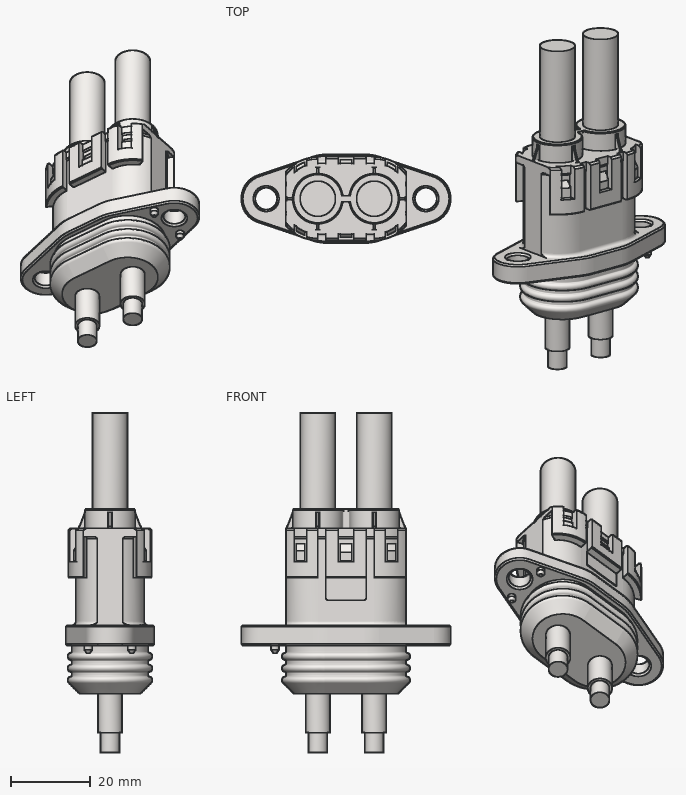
import cadquery as cq
import math

PIN_STEP_Z = 5.0
SEAL_BOTTOM_Z = 14.7
FLANGE_BOTTOM_Z = 26.8
FLANGE_TOP_Z = 31.9
SKIRT_BOTTOM_Z = 43.7
PLATE_BOTTOM_Z = 54.1
PLATE_TOP_Z = 56.1
COLLAR_TOP_Z = 60.95
CABLE_TOP_Z = 85.0

CABLE_X = 7.05
CABLE_RADIUS = 4.4
PIN_RADIUS = 3.1
PIN_TIP_RADIUS = 2.4

FLANGE_LENGTH = 52.45
FLANGE_HALF_LENGTH = FLANGE_LENGTH / 2
FLANGE_HALF_WIDTH = 11.1
FLANGE_END_X = 20.0
FLANGE_MIDDLE_X = 4.7
FLANGE_EDGE_CHAMFER = 0.4
HOLE_RADIUS = 2.7
HOLE_CHAMFER = 0.5

PIP_X = -17.8
PIP_Y = 5.4
PIP_RADIUS = 1.0
PIP_TIP_RADIUS = 0.4
PIP_STRAIGHT = 1.0
PIP_LENGTH = 1.95

SEAL_CENTER_X = 5.4
NECK_RADIUS = 9.6
RING_PEAK_RADIUS = 10.6
RING_CREST_RADIUS = 0.9
RING_ROOT_FILLET = 0.25
RING_PITCH = 3.0
RING_COUNT = 3
LOWEST_RING_Z = 18.1

BODY_RADIUS = 8.6
BODY_HALF_LENGTH = 15.05
BODY_BASE_FILLET = 0.9
BODY_TOP_FLARE_HEIGHT = 0.5
NOTCH_FLOOR_RADIUS = 8.8
SKIRT_RADIUS = 10.45
SKIRT_HALF_LENGTH = BODY_HALF_LENGTH
SKIRT_END_OUTER_Y = 6.55
SKIRT_END_INNER_X = 13.35
SKIRT_END_INNER_Y = 5.8
SKIRT_TOP_CHAMFER = 0.5
SKIRT_BOTTOM_CHAMFER = 0.25

PANEL_HALF_WIDTH = 5.0
WINDOW_BOTTOM_Z = 47.7
CENTER_WINDOW_WIDTH = 3.9
SIDE_WINDOW_X = 11.4
SIDE_WINDOW_WIDTH = 3.15
TOOTH_RADIUS = 9.7
TOOTH_BOTTOM_Z = 47.9
TOOTH_TOP_Z = 52.2
CENTER_TOOTH_WIDTH = 3.0
CENTER_TOOTH_CREST_Z = 50.1
SIDE_TOOTH_WIDTH = 2.1
SIDE_TOOTH_CREST_Z = 50.5

LABEL_BOTTOM_Z = 38.2
LABEL_DEPTH = 0.2
LABEL_CORNER_RADIUS = 0.4

COLLAR_RADIUS = 6.3
COLLAR_EDGE_CHAMFER = 0.25
BRIDGE_WIDTH = 1.5
BRIDGE_FILLET = 0.3
RIB_WIDTH = 0.5
RIB_FILLET = 0.25
RIB_REACH = 7.8
RIB_TOP_Z = 60.1

OVERLAP = 0.4


def mirror_x(point):
    return (-point[0], point[1])


def mirror_y(point):
    return (point[0], -point[1])


def cylinder(x, y, radius, bottom_z, top_z):
    return cq.Workplane("XY", origin=(x, y, bottom_z)).circle(radius).extrude(top_z - bottom_z)


def cone(x, y, base_radius, end_radius, base_z, height):
    """Frustum from base_z; a negative height points it downward."""
    direction = cq.Vector(0, 0, math.copysign(1, height))
    base = cq.Vector(x, y, base_z)
    return cq.Workplane(cq.Solid.makeCone(base_radius, end_radius, abs(height), base, direction))


def block(x_range, y_range, z_range):
    """Axis-aligned box given by its limits."""
    corner = (x_range[0], y_range[0], z_range[0])
    sizes = (x_range[1] - x_range[0], y_range[1] - y_range[0], z_range[1] - z_range[0])
    return cq.Workplane("XY").box(*sizes, centered=False).translate(corner)


def stadium_solid(draw_section, center_x):
    """Carry a closed (radius, height) section around a stadium with end centres at +-center_x."""
    round_end = draw_section(cq.Workplane("XZ")).revolve(360, (0, 0, 0), (0, 1, 0))
    side = draw_section(cq.Workplane("YZ")).extrude(center_x, both=True)
    solid = side.union(side.mirror("XZ"))
    for x in (-center_x, center_x):
        solid = solid.union(round_end.translate((x, 0, 0)))
    return solid


def polygon_stadium(points, center_x):
    return stadium_solid(lambda plane: plane.polyline(points).close(), center_x)


def slice_at(x, width, bottom_z):
    """Block across the whole housing depth, from bottom_z up to the plate top."""
    return block(
        (x - width / 2, x + width / 2),
        (-FLANGE_HALF_WIDTH, FLANGE_HALF_WIDTH),
        (bottom_z, PLATE_TOP_Z),
    )


def trim_length(solid, half_length):
    """Flat ends across the rounded housing."""
    return solid.intersect(slice_at(0, 2 * half_length, FLANGE_BOTTOM_Z))


def make_flange():
    """Diamond plate: the hull of two large middle circles and two small end circles."""
    end_radius = FLANGE_HALF_LENGTH - FLANGE_END_X
    slope = math.asin((FLANGE_HALF_WIDTH - end_radius) / (FLANGE_END_X - FLANGE_MIDDLE_X))

    def rim_point(center_x, radius, angle):
        return (center_x + radius * math.sin(angle), radius * math.cos(angle))

    crest = (FLANGE_MIDDLE_X, FLANGE_HALF_WIDTH)
    bend = rim_point(FLANGE_MIDDLE_X, FLANGE_HALF_WIDTH, slope / 2)
    shoulder = rim_point(FLANGE_MIDDLE_X, FLANGE_HALF_WIDTH, slope)
    end_start = rim_point(FLANGE_END_X, end_radius, slope)
    tip = (FLANGE_HALF_LENGTH, 0)

    flange = (
        cq.Workplane("XY", origin=(0, 0, FLANGE_BOTTOM_Z))
        .moveTo(*crest)
        .threePointArc(bend, shoulder)
        .lineTo(*end_start)
        .threePointArc(tip, mirror_y(end_start))
        .lineTo(*mirror_y(shoulder))
        .threePointArc(mirror_y(bend), mirror_y(crest))
        .lineTo(*mirror_x(mirror_y(crest)))
        .threePointArc(mirror_x(mirror_y(bend)), mirror_x(mirror_y(shoulder)))
        .lineTo(*mirror_x(mirror_y(end_start)))
        .threePointArc(mirror_x(tip), mirror_x(end_start))
        .lineTo(*mirror_x(shoulder))
        .threePointArc(mirror_x(bend), mirror_x(crest))
        .close()
        .extrude(FLANGE_TOP_Z - FLANGE_BOTTOM_Z)
        .faces("<Z or >Z")
        .chamfer(FLANGE_EDGE_CHAMFER)
    )
    for x in (-FLANGE_END_X, FLANGE_END_X):
        hole = (
            cylinder(x, 0, HOLE_RADIUS, FLANGE_BOTTOM_Z, FLANGE_TOP_Z)
            .union(cone(x, 0, HOLE_RADIUS + HOLE_CHAMFER, HOLE_RADIUS, FLANGE_TOP_Z, -HOLE_CHAMFER))
            .union(cone(x, 0, HOLE_RADIUS + HOLE_CHAMFER, HOLE_RADIUS, FLANGE_BOTTOM_Z, HOLE_CHAMFER))
        )
        flange = flange.cut(hole)
    return flange


def make_pip(y):
    taper_length = PIP_LENGTH - PIP_STRAIGHT
    taper_z = FLANGE_BOTTOM_Z - PIP_STRAIGHT
    shank = cylinder(PIP_X, y, PIP_RADIUS, taper_z, FLANGE_BOTTOM_Z + OVERLAP)
    return shank.union(cone(PIP_X, y, PIP_RADIUS, PIP_TIP_RADIUS, taper_z, -taper_length))


def make_seal():
    """Neck below the flange: a 45 degree taper, then round-crested rings with filleted roots."""
    crest_center_radius = RING_PEAK_RADIUS - RING_CREST_RADIUS
    root_center_radius = NECK_RADIUS + RING_ROOT_FILLET
    center_distance = RING_CREST_RADIUS + RING_ROOT_FILLET
    rise = root_center_radius - crest_center_radius
    root_offset = math.sqrt(center_distance**2 - rise**2)
    crest_share = RING_CREST_RADIUS / center_distance
    joint_radius = crest_center_radius + rise * crest_share
    joint_offset = root_offset * crest_share
    root_angle = math.atan2(root_offset, rise)
    root_middle_radius = root_center_radius - RING_ROOT_FILLET * math.cos(root_angle / 2)
    root_middle_offset = root_offset - RING_ROOT_FILLET * math.sin(root_angle / 2)
    touch_offset = RING_CREST_RADIUS * math.sqrt(0.5)
    touch_radius = crest_center_radius + touch_offset
    touch_z = LOWEST_RING_Z - touch_offset
    taper_end_radius = touch_radius - (touch_z - SEAL_BOTTOM_Z)

    def draw_section(plane):
        section = (
            plane.moveTo(0, SEAL_BOTTOM_Z)
            .lineTo(taper_end_radius, SEAL_BOTTOM_Z)
            .lineTo(touch_radius, touch_z)
        )
        for index in range(RING_COUNT):
            peak_z = LOWEST_RING_Z + index * RING_PITCH
            if index > 0:
                section = section.lineTo(NECK_RADIUS, peak_z - root_offset).threePointArc(
                    (root_middle_radius, peak_z - root_middle_offset),
                    (joint_radius, peak_z - joint_offset),
                )
            section = section.threePointArc(
                (RING_PEAK_RADIUS, peak_z), (joint_radius, peak_z + joint_offset)
            ).threePointArc(
                (root_middle_radius, peak_z + root_middle_offset), (NECK_RADIUS, peak_z + root_offset)
            )
        return (
            section.lineTo(NECK_RADIUS, FLANGE_BOTTOM_Z + OVERLAP)
            .lineTo(0, FLANGE_BOTTOM_Z + OVERLAP)
            .close()
        )

    return stadium_solid(draw_section, SEAL_CENTER_X)


def make_body():
    """Housing column with a fillet at the flange and a slight flare under the top plate."""
    fillet_top_z = FLANGE_TOP_Z + BODY_BASE_FILLET
    fillet_radius = BODY_RADIUS + BODY_BASE_FILLET
    fillet_offset = BODY_BASE_FILLET * (1 - math.sqrt(0.5))
    column = stadium_solid(
        lambda plane: plane.moveTo(0, FLANGE_TOP_Z - OVERLAP)
        .lineTo(fillet_radius, FLANGE_TOP_Z - OVERLAP)
        .lineTo(fillet_radius, FLANGE_TOP_Z)
        .threePointArc(
            (BODY_RADIUS + fillet_offset, FLANGE_TOP_Z + fillet_offset),
            (BODY_RADIUS, fillet_top_z),
        )
        .lineTo(BODY_RADIUS, PLATE_BOTTOM_Z - BODY_TOP_FLARE_HEIGHT)
        .lineTo(NOTCH_FLOOR_RADIUS, PLATE_BOTTOM_Z)
        .lineTo(NOTCH_FLOOR_RADIUS, PLATE_TOP_Z)
        .lineTo(0, PLATE_TOP_Z)
        .close(),
        CABLE_X,
    )
    return trim_length(column, BODY_HALF_LENGTH)


def make_skirt():
    """Top plate and the thick wall of panels hanging below it."""
    section = [
        (0, SKIRT_BOTTOM_Z),
        (SKIRT_RADIUS - SKIRT_BOTTOM_CHAMFER, SKIRT_BOTTOM_Z),
        (SKIRT_RADIUS, SKIRT_BOTTOM_Z + SKIRT_BOTTOM_CHAMFER),
        (SKIRT_RADIUS, PLATE_TOP_Z - SKIRT_TOP_CHAMFER),
        (SKIRT_RADIUS - SKIRT_TOP_CHAMFER, PLATE_TOP_Z),
        (0, PLATE_TOP_Z),
    ]
    skirt = trim_length(polygon_stadium(section, CABLE_X), SKIRT_HALF_LENGTH)
    end_opening = (
        cq.Workplane("XY", origin=(0, 0, SKIRT_BOTTOM_Z))
        .polyline([
            (SKIRT_HALF_LENGTH, -SKIRT_END_OUTER_Y),
            (SKIRT_END_INNER_X, -SKIRT_END_INNER_Y),
            (SKIRT_END_INNER_X, SKIRT_END_INNER_Y),
            (SKIRT_HALF_LENGTH, SKIRT_END_OUTER_Y),
        ])
        .close()
        .extrude(PLATE_BOTTOM_Z - SKIRT_BOTTOM_Z)
    )
    return skirt.cut(end_opening).cut(end_opening.mirror("YZ"))


def cut_skirt_openings(skirt):
    """Slots between the panels run full height; windows are open at the top only."""
    slot_width = CABLE_X - PANEL_HALF_WIDTH
    slot_x = (CABLE_X + PANEL_HALF_WIDTH) / 2
    openings = [
        (-slot_x, slot_width, SKIRT_BOTTOM_Z),
        (slot_x, slot_width, SKIRT_BOTTOM_Z),
        (0, CENTER_WINDOW_WIDTH, WINDOW_BOTTOM_Z),
        (-SIDE_WINDOW_X, SIDE_WINDOW_WIDTH, WINDOW_BOTTOM_Z),
        (SIDE_WINDOW_X, SIDE_WINDOW_WIDTH, WINDOW_BOTTOM_Z),
    ]
    for x, width, bottom_z in openings:
        skirt = skirt.cut(slice_at(x, width, bottom_z))
    return skirt


def make_teeth(x, width, crest_z):
    """Latch teeth on both faces of the body, sloping outward from the top to a crest."""
    section = [
        (0, TOOTH_BOTTOM_Z),
        (TOOTH_RADIUS, TOOTH_BOTTOM_Z),
        (TOOTH_RADIUS, crest_z),
        (BODY_RADIUS, TOOTH_TOP_Z),
        (0, TOOTH_TOP_Z),
    ]
    return polygon_stadium(section, CABLE_X).intersect(slice_at(x, width, TOOTH_BOTTOM_Z))


def make_housing():
    housing = make_body().union(cut_skirt_openings(make_skirt()))
    housing = housing.union(make_teeth(0, CENTER_TOOTH_WIDTH, CENTER_TOOTH_CREST_Z))
    for x in (-SIDE_WINDOW_X, SIDE_WINDOW_X):
        housing = housing.union(make_teeth(x, SIDE_TOOTH_WIDTH, SIDE_TOOTH_CREST_Z))
    label = block(
        (-PANEL_HALF_WIDTH, PANEL_HALF_WIDTH),
        (-BODY_RADIUS - OVERLAP, -BODY_RADIUS + LABEL_DEPTH),
        (LABEL_BOTTOM_Z, SKIRT_BOTTOM_Z),
    )
    label = label.faces("<Z").edges("|Y").fillet(LABEL_CORNER_RADIUS)
    return housing.cut(label)


def draw_flared_strip(plane, start, flare, end):
    """Narrow strip along local x, widened by a fillet on both sides from start to flare."""
    narrow_y = RIB_WIDTH / 2
    wide_y = narrow_y + RIB_FILLET
    middle_offset = RIB_FILLET * (1 - math.sqrt(0.5))
    arc_middle = (flare + middle_offset, narrow_y + middle_offset)
    return (
        plane.moveTo(start, wide_y)
        .lineTo(flare, wide_y)
        .threePointArc(arc_middle, (flare + RIB_FILLET, narrow_y))
        .lineTo(end, narrow_y)
        .lineTo(end, -narrow_y)
        .lineTo(flare + RIB_FILLET, -narrow_y)
        .threePointArc(mirror_y(arc_middle), (flare, -wide_y))
        .lineTo(start, -wide_y)
        .close()
    )


def make_rib():
    """Triangular gusset along +X beside a collar at the origin, filleted at its root and foot."""
    bottom_z = PLATE_TOP_Z - OVERLAP
    wedge = (
        cq.Workplane("XZ")
        .polyline([
            (0, bottom_z),
            (RIB_REACH, bottom_z),
            (RIB_REACH, PLATE_TOP_Z),
            (COLLAR_RADIUS, RIB_TOP_Z),
            (0, RIB_TOP_Z),
        ])
        .close()
        .extrude(RIB_WIDTH / 2 + RIB_FILLET, both=True)
    )
    plan = draw_flared_strip(cq.Workplane("XY", origin=(0, 0, bottom_z)), 0, COLLAR_RADIUS, RIB_REACH)
    gusset = wedge.intersect(plan.extrude(RIB_TOP_Z - bottom_z))
    upward = cq.Plane(origin=(0, 0, 0), xDir=(0, 0, 1), normal=(1, 0, 0))
    foot_top_z = PLATE_TOP_Z + 2 * RIB_FILLET
    foot = draw_flared_strip(cq.Workplane(upward), bottom_z, PLATE_TOP_Z, foot_top_z).extrude(RIB_REACH)
    return gusset.union(foot)


def make_collar():
    """Right-hand cable collar with three ribs, centred at the origin."""
    collar = cylinder(0, 0, COLLAR_RADIUS, PLATE_TOP_Z - OVERLAP, COLLAR_TOP_Z)
    collar = collar.faces(">Z").chamfer(COLLAR_EDGE_CHAMFER)
    for angle in (-90, 0, 90):
        collar = collar.union(make_rib().rotate((0, 0, 0), (0, 0, 1), angle))
    return collar


def make_collars():
    """Two cable collars joined by a short bridge with rounded corners."""
    bottom_z = PLATE_TOP_Z - OVERLAP
    right_collar = make_collar().translate((CABLE_X, 0, 0))
    bridge = block((-CABLE_X, CABLE_X), (-BRIDGE_WIDTH / 2, BRIDGE_WIDTH / 2), (bottom_z, COLLAR_TOP_Z))
    collars = right_collar.union(right_collar.mirror("YZ")).union(bridge)
    bridge_zone = cq.selectors.BoxSelector(
        (-BRIDGE_WIDTH, -BRIDGE_WIDTH, bottom_z), (BRIDGE_WIDTH, BRIDGE_WIDTH, COLLAR_TOP_Z)
    )
    return collars.edges("|Z").edges(bridge_zone).fillet(BRIDGE_FILLET)


def make_conductor(x):
    """Cable above the collar and the stepped pin below the seal."""
    cable = cylinder(x, 0, CABLE_RADIUS, COLLAR_TOP_Z - OVERLAP, CABLE_TOP_Z)
    pin = cylinder(x, 0, PIN_RADIUS, PIN_STEP_Z, SEAL_BOTTOM_Z + OVERLAP)
    return cable.union(pin).union(cylinder(x, 0, PIN_TIP_RADIUS, 0, PIN_STEP_Z))


result = make_flange().union(make_seal()).union(make_housing()).union(make_collars())
for cable_x in (-CABLE_X, CABLE_X):
    result = result.union(make_conductor(cable_x))
for pip_y in (-PIP_Y, PIP_Y):
    result = result.union(make_pip(pip_y))